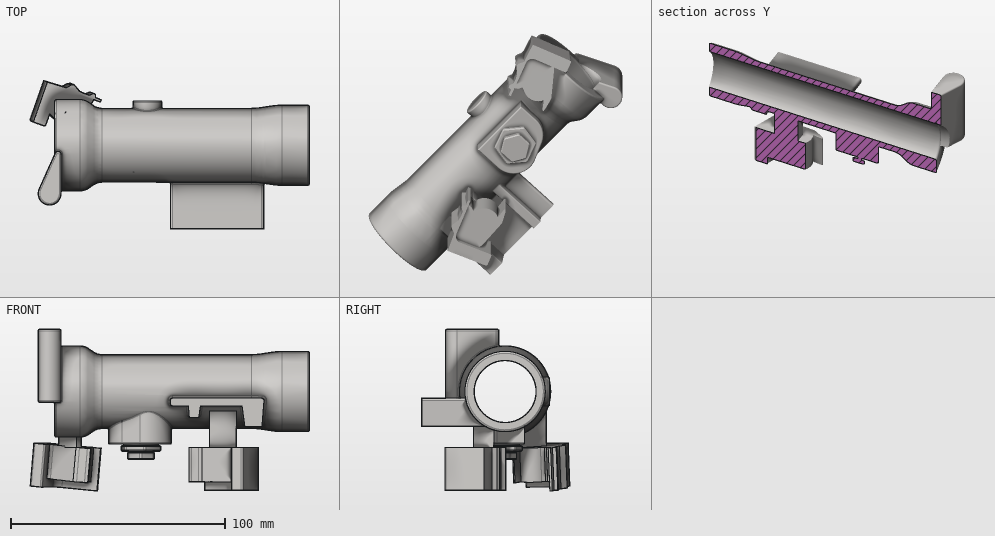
import cadquery as cq
import math

BORE_R = 28.8 / 2
TUBE_R = 34.5 / 2
RING_R = 42.6 / 2
BELL_R = 37.5 / 2
FRONT_X = 11.5
RING_END_X = 23.3
TUBE_START_X = 33.5
TUBE_END_X = 103.4
BELL_START_X = 117.6
REAR_X = 130.4
RIM_FILLET = 0.9

LEVER_TOP = 29.1
LEVER_BOTTOM = -5.1
LEVER_X, LEVER_Y, LEVER_R = 9.1, -22.5, 5.3
LEVER_TIP_X, LEVER_TIP_Y, LEVER_TIP_R = 13.0, -4.3, 1.4
LEVER_FILLET = 0.8
LEVER_BLEND = 0.7

SIDE_TURRET_X = 54.8
SIDE_TURRET_R = 13.4 / 2
SIDE_TURRET_END = 20.7
TURRET_FILLET = 0.7
TURRET_BLEND = 0.5
BASE_LEFT, BASE_RIGHT, BASE_BACK = 36.6, 66.0, 9.1
BASE_BOTTOM = -24.5
BASE_CORNER_X, BASE_CORNER_Y, BASE_CORNER_R = 47.0, -0.7, 10.4
BASE_NOSE_X, BASE_NOSE_Y, BASE_NOSE_R = 55.3, -3.8, 10.7
NUT_X, NUT_Y = 51.8, -1.5
WASHER_R = 8.2
LOCK_NUT_WIDTH, LOCK_NUT_TURN = 19.8, 41
LOCK_NUT_TOP, LOCK_NUT_BOTTOM = -25.2, -27.9
COLLAR_R = 5.6
CAP_NUT_WIDTH, CAP_NUT_TURN = 14.3, 30
CAP_NUT_TOP, CAP_NUT_BOTTOM = -28.2, -31.8
NUT_OVERLAP = 0.3
NUT_CORNER_R = 1.2
NUT_CHAMFER = 0.5

PLATFORM_LEFT, PLATFORM_RIGHT = 65.5, 109.3
PLATFORM_TOP, PLATFORM_UNDERSIDE = -3.1, -6.7
PLATFORM_OUTER_Y, PLATFORM_INNER_Y = -39.0, -2.6
PLATFORM_EDGE_R = 1.0
PLATFORM_BLEND = 1.0
FOOT_EDGE_R = 0.5
SMALL_FOOT_BOTTOM = -12.1
LARGE_FOOT_BOTTOM = -16.4
SMALL_FOOT_ROOT = (74.0, 79.5)
SMALL_FOOT_TIP = (74.3, 78.8)
LARGE_FOOT_ROOT_LEFT = 99.0
LARGE_FOOT_TIP = (100.3, 108.2)

CLIP_HEIGHT = 20.1
ARM_HEIGHT = 16.0
JAW_WIDTH = 6.0
JAW_LENGTH = 19.8
JAW_FILLET = 0.8
WALL_FRONT = -0.7
WALL_TIP = [(26.6, -0.7), (26.6, 0.5), (23.9, 0.5)]
WALL_RIDGES = [
    (23.2, 2.1),
    (22.2, 2.1),
    (20.5, 0.7),
    (18.0, 0.7),
    (15.6, 1.0),
    (12.3, 3.0),
    (11.0, 2.3),
    (9.1, 0.4),
]
ARM_FACE = [(JAW_WIDTH, -13.5), (8.1, -14.6), (20.9, -18.9)]
ARM_HOOK = [(22.5, -18.8), (26.3, -18.4), (27.8, -18.0), (27.6, -17.3)]
WEB_START, WEB_BULGE, WEB_END = (23.0, -16.0), (25.0, -11.1), (22.7, -5.9)
WALL_LUG = [(21.4, -4.4), (22.8, -2.9)]
WALL_LUG_ROOT = 23.3
WALL_CORNER_R = 3.3
REAR_CLIP_TURN = -21.4
FRONT_CLIP_TURN = -19.4
REAR_CLIP_CORNER = (106.5, -9.9, -26.1)
FRONT_CLIP_CORNER = (8.1, 29.5, -24.0)
FRONT_CLIP_TILT_X = 2.2
FRONT_CLIP_TILT_Y = 4.9

REAR_POST_LEFT, REAR_POST_RIGHT = 83.7, 96.4
REAR_POST_FRONT, REAR_POST_BACK = -14.9, -5.2
REAR_POST_TOP, REAR_POST_BOTTOM = -9.0, -27.4
FRONT_POST_CORNERS = [(13.3, 11.3), (21.6, 4.2), (24.0, 6.7), (19.8, 19.3)]
FRONT_POST_TOP, FRONT_POST_BOTTOM = -9.1, -26.1


def prism(outline, bottom, top):
    """Extrude a closed plan outline between two heights."""
    return outline.extrude(top - bottom).translate((0, 0, bottom))


def tube_body():
    """Revolve the outside of the tube: front ring, necked tube and rear bell."""
    along_axis = [(1, 0), (1, 0)]
    body = (
        cq.Workplane("XY")
        .moveTo(FRONT_X, 0)
        .lineTo(FRONT_X, RING_R)
        .lineTo(RING_END_X, RING_R)
        .spline([(TUBE_START_X, TUBE_R)], tangents=along_axis, includeCurrent=True)
        .lineTo(TUBE_END_X, TUBE_R)
        .spline([(BELL_START_X, BELL_R)], tangents=along_axis, includeCurrent=True)
        .lineTo(REAR_X, BELL_R)
        .lineTo(REAR_X, 0)
        .close()
        .revolve(360, (0, 0, 0), (1, 0, 0))
    )
    return body.faces("<X or >X").edges().fillet(RIM_FILLET)


def bore():
    """Through bore that flares in a quarter round at the front mouth."""
    return (
        cq.Workplane("XY")
        .moveTo(0, 0)
        .lineTo(0, BORE_R)
        .lineTo(FRONT_X, BORE_R)
        .lineTo(FRONT_X, BORE_R + RIM_FILLET)
        .radiusArc((FRONT_X + RIM_FILLET, BORE_R), -RIM_FILLET)
        .lineTo(REAR_X, BORE_R)
        .lineTo(REAR_X, 0)
        .close()
        .revolve(360, (0, 0, 0), (1, 0, 0))
    )


def tangent_points(first, second, side):
    """Points where the outer tangent touches two (x, y, radius) circles; side is +1 left, -1 right."""
    dx = second[0] - first[0]
    dy = second[1] - first[1]
    angle = math.atan2(dy, dx) + side * math.acos((first[2] - second[2]) / math.hypot(dx, dy))
    return [(x + r * math.cos(angle), y + r * math.sin(angle)) for x, y, r in (first, second)]


def lever():
    large = (LEVER_X, LEVER_Y, LEVER_R)
    tip = (LEVER_TIP_X, LEVER_TIP_Y, LEVER_TIP_R)
    left_start, left_end = tangent_points(large, tip, 1)
    right_start, right_end = tangent_points(large, tip, -1)
    outline = (
        cq.Workplane("XY")
        .moveTo(*left_start)
        .lineTo(*left_end)
        .threePointArc((LEVER_TIP_X, LEVER_TIP_Y + LEVER_TIP_R), right_end)
        .lineTo(*right_start)
        .threePointArc((LEVER_X, LEVER_Y - LEVER_R), left_start)
        .close()
    )
    return prism(outline, LEVER_BOTTOM, LEVER_TOP).faces("<Z or >Z").edges().fillet(LEVER_FILLET)


def side_turret():
    turret = cq.Workplane("XZ").center(SIDE_TURRET_X, 0).circle(SIDE_TURRET_R).extrude(-SIDE_TURRET_END)
    return turret.faces(">Y").edges().fillet(TURRET_FILLET)


def turret_base():
    """Bottom boss: a rounded corner and a rounded nose joined by a slanting flat."""
    corner = (BASE_CORNER_X, BASE_CORNER_Y, BASE_CORNER_R)
    nose = (BASE_NOSE_X, BASE_NOSE_Y, BASE_NOSE_R)
    flat_start, flat_end = tangent_points(corner, nose, -1)
    outline = (
        cq.Workplane("XY")
        .moveTo(BASE_LEFT, BASE_BACK)
        .lineTo(BASE_LEFT, BASE_CORNER_Y)
        .tangentArcPoint(flat_start, relative=False)
        .lineTo(*flat_end)
        .tangentArcPoint((BASE_RIGHT, BASE_NOSE_Y), relative=False)
        .lineTo(BASE_RIGHT, BASE_BACK)
        .close()
    )
    return prism(outline, BASE_BOTTOM, 0).faces("<Z").edges().fillet(TURRET_FILLET)


def hex_nut(width, bottom, top, turn):
    """Hexagon with rounded corners and chamfered rims; width is across the corners."""
    nut = prism(cq.Workplane("XY").polygon(6, width), bottom, top).edges("|Z").fillet(NUT_CORNER_R)
    nut = nut.faces("<Z or >Z").edges().chamfer(NUT_CHAMFER)
    return nut.rotate((0, 0, 0), (0, 0, 1), turn).translate((NUT_X, NUT_Y, 0))


def bottom_turret():
    """Boss with a washer, a lock nut, a collar and a cap nut stacked below it."""
    centre = cq.Workplane("XY").center(NUT_X, NUT_Y)
    washer = prism(centre.circle(WASHER_R), LOCK_NUT_TOP - NUT_OVERLAP, BASE_BOTTOM)
    lock_nut = hex_nut(LOCK_NUT_WIDTH, LOCK_NUT_BOTTOM, LOCK_NUT_TOP, LOCK_NUT_TURN)
    collar = prism(centre.circle(COLLAR_R), CAP_NUT_TOP - NUT_OVERLAP, LOCK_NUT_BOTTOM + NUT_OVERLAP)
    cap_nut = hex_nut(CAP_NUT_WIDTH, CAP_NUT_BOTTOM, CAP_NUT_TOP, CAP_NUT_TURN)
    return turret_base().union(washer).union(lock_nut).union(collar).union(cap_nut)


def platform():
    """Side plate with a small and a large tapered foot beneath it."""
    outline = [
        (PLATFORM_LEFT, PLATFORM_TOP),
        (PLATFORM_RIGHT, PLATFORM_TOP),
        (LARGE_FOOT_TIP[1], LARGE_FOOT_BOTTOM),
        (LARGE_FOOT_TIP[0], LARGE_FOOT_BOTTOM),
        (LARGE_FOOT_ROOT_LEFT, PLATFORM_UNDERSIDE),
        (SMALL_FOOT_ROOT[1], PLATFORM_UNDERSIDE),
        (SMALL_FOOT_TIP[1], SMALL_FOOT_BOTTOM),
        (SMALL_FOOT_TIP[0], SMALL_FOOT_BOTTOM),
        (SMALL_FOOT_ROOT[0], PLATFORM_UNDERSIDE),
        (PLATFORM_LEFT, PLATFORM_UNDERSIDE),
    ]
    depth = PLATFORM_INNER_Y - PLATFORM_OUTER_Y
    plate = cq.Workplane("XZ").polyline(outline).close().extrude(depth)
    plate = plate.translate((0, PLATFORM_INNER_Y, 0))
    plate = plate.edges("|Y").edges("<X or (>X and >Z)").fillet(PLATFORM_EDGE_R)
    for foot_bottom in (SMALL_FOOT_BOTTOM, LARGE_FOOT_BOTTOM):
        on_foot = cq.selectors.BoxSelector(
            (PLATFORM_LEFT, PLATFORM_OUTER_Y, foot_bottom - 0.1),
            (PLATFORM_RIGHT, PLATFORM_INNER_Y, foot_bottom + 0.1),
        )
        plate = plate.edges("|Y").edges(on_foot).fillet(FOOT_EDGE_R)
    return plate


def blend_seam(body, near_corner, far_corner, radius):
    """Round the edges that lie wholly inside a box, where a feature runs into the tube."""
    seam = cq.selectors.BoxSelector(near_corner, far_corner, boundingbox=True)
    return body.edges(seam).fillet(radius)


def jaw_and_wall():
    """Full-height part of the clip: thick jaw and thin back wall with two ridges."""
    jaw = [(0, 0), (0, -JAW_LENGTH), (JAW_WIDTH, -JAW_LENGTH), (JAW_WIDTH, WALL_FRONT)]
    outline = cq.Workplane("XY").polyline(jaw + WALL_TIP + WALL_RIDGES).close()
    frame = prism(outline, -CLIP_HEIGHT, 0).edges("|Z").edges("<Y").fillet(JAW_FILLET)
    inner_corner = cq.selectors.NearestToPointSelector((JAW_WIDTH, WALL_FRONT, -CLIP_HEIGHT / 2))
    return frame.edges(inner_corner).fillet(WALL_CORNER_R)


def arm():
    """Shorter part of the clip: hooked arm and the bulging web that ties it to the wall."""
    wall_middle = WALL_FRONT + 0.3
    outline = (
        cq.Workplane("XY")
        .moveTo(JAW_WIDTH, WALL_FRONT)
        .polyline(ARM_FACE + ARM_HOOK + [WEB_START], includeCurrent=True)
        .threePointArc(WEB_BULGE, WEB_END)
        .polyline(WALL_LUG + [(WALL_LUG_ROOT, wall_middle)], includeCurrent=True)
        .close()
    )
    return prism(outline, -ARM_HEIGHT, 0)


def clip():
    """Spring clip hanging below z = 0, with the outer back corner of its jaw at the origin."""
    return jaw_and_wall().union(arm())


def rear_clip():
    mirrored = clip().mirror("YZ").rotate((0, 0, 0), (0, 0, 1), REAR_CLIP_TURN)
    return mirrored.translate(REAR_CLIP_CORNER)


def front_clip():
    tilted = (
        clip()
        .rotate((0, 0, 0), (0, 0, 1), FRONT_CLIP_TURN)
        .rotate((0, 0, 0), (0, 1, 0), FRONT_CLIP_TILT_Y)
        .rotate((0, 0, 0), (1, 0, 0), FRONT_CLIP_TILT_X)
    )
    return tilted.translate(FRONT_CLIP_CORNER)


def rear_post():
    width = REAR_POST_RIGHT - REAR_POST_LEFT
    depth = REAR_POST_BACK - REAR_POST_FRONT
    height = REAR_POST_TOP - REAR_POST_BOTTOM
    post = cq.Workplane("XY").box(width, depth, height, centered=False)
    return post.translate((REAR_POST_LEFT, REAR_POST_FRONT, REAR_POST_BOTTOM))


def front_post():
    return prism(cq.Workplane("XY").polyline(FRONT_POST_CORNERS).close(), FRONT_POST_BOTTOM, FRONT_POST_TOP)


def blended_platform(body):
    body = body.union(platform())
    near_corner = (PLATFORM_LEFT - 1.3, -TUBE_R - 1.3, LARGE_FOOT_BOTTOM - 0.7)
    far_corner = (PLATFORM_RIGHT + 1.3, PLATFORM_INNER_Y - 1.3, PLATFORM_TOP + 0.7)
    return blend_seam(body, near_corner, far_corner, PLATFORM_BLEND)


def blended_side_turret(body):
    body = body.union(side_turret())
    reach = SIDE_TURRET_R + 1.3
    near_corner = (SIDE_TURRET_X - reach, 0, -reach)
    far_corner = (SIDE_TURRET_X + reach, TUBE_R + 0.3, reach)
    return blend_seam(body, near_corner, far_corner, TURRET_BLEND)


def blended_bottom_turret(body):
    body = body.union(bottom_turret())
    near_corner = (BASE_LEFT - 1.3, -TUBE_R, -TUBE_R - 0.7)
    far_corner = (BASE_RIGHT + 1.3, BASE_BACK + 1.3, -1.3)
    return blend_seam(body, near_corner, far_corner, TURRET_BLEND)


def blended_lever(body):
    body = body.union(lever())
    near_corner = (FRONT_X - 0.7, -RING_R - 0.3, LEVER_BOTTOM - 1.3)
    far_corner = (LEVER_X + LEVER_R + 1.3, -1.3, RING_R + 0.4)
    return blend_seam(body, near_corner, far_corner, LEVER_BLEND)


result = tube_body()
for add_feature in (blended_platform, blended_side_turret, blended_bottom_turret, blended_lever):
    result = add_feature(result)
for feature in (rear_post(), front_post(), rear_clip(), front_clip()):
    result = result.union(feature)
result = result.cut(bore())